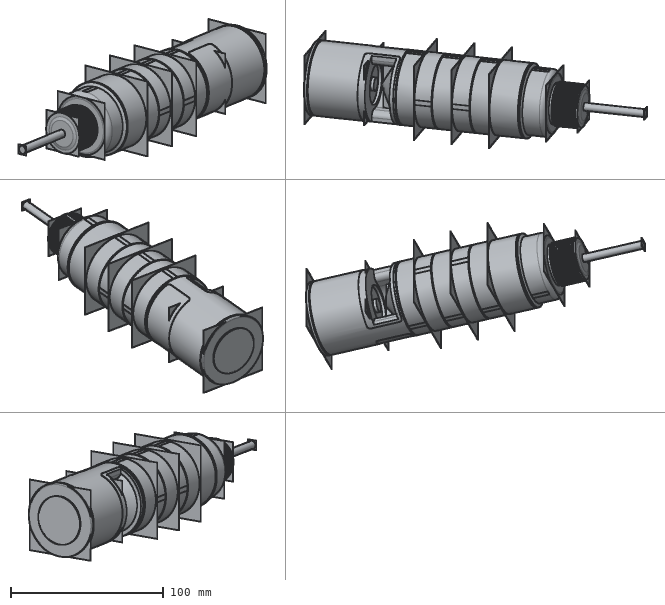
import cadquery as cq
import math


body_radius = 24.98
rear_boss_radius = 16.5
rear_boss_height = 1.0
rear_edge_fillet = 0.7
body_end = 150.3
shoulder_chamfer_length = 1.1
base_radius = 22.5
base_end = 165.8
base_fillet = 4.0
base_nose = 0.1

gland_radius = 14.8
gland_neck_length = 1.5
thread_start = base_end + gland_neck_length
thread_pitch = 1.5
thread_depth = 1.0
thread_turns = 11
thread_root_radius = gland_radius - thread_depth
gland_shoulder = 185.5
gland_shoulder_radius = 11.5
gland_end = 186.1
gland_end_radius = 9.1
keyway_width = 3.0

joint_stations = [3.2, 63.6, 88.5, 114.5, 147.8]
joint_width = 0.7
joint_depth = 0.2
mark_width = 3.5
mark_depth = 0.2
top_mark_spans = [(64.0, 76.6), (88.5, 102.7), (114.5, 128.5)]
side_mark_spans = [(76.9, 88.5), (102.7, 114.5)]
base_mark_span = (body_end, base_end - base_fillet)

window_start = 37.9
window_end = 62.3
window_edge = 6.8
window_corner = 2.3
window_depth = 0.2
slot_start = 43.0
slot_end = 59.8
slot_floor = 9.0
chamber_radius = 16.0
chamber_end = 48.1
post_rounding = 4.0
mouth_radius = 13.7
mouth_depth = 2.3
mouth_core_radius = 4.5
cone_tip = 46.5
cone_base_radius = 21.7

plate_thickness = 0.2
large_plate = 52.0
plates = [
    (rear_boss_height + 0.2, 48.1),
    (76.9, large_plate),
    (102.7, large_plate),
    (128.5, large_plate),
    (base_end - base_nose - plate_thickness, 39.5),
    (gland_shoulder - plate_thickness, 27.0),
]
head_plate_start = 41.5
head_plate_width = 44.3
head_plate_height = 42.0

cable_radius = 2.7
cable_end = 228.1
cable_plate = 6.6


def cylinder(radius, start, end):
    """Cylinder on the Y axis between two stations."""
    face = cq.Workplane("XZ", origin=(0, -start, 0))
    return face.circle(radius).extrude(end - start)


def thin_plate(start, width, height):
    """Thin rectangular plate across the axis."""
    face = cq.Workplane("XZ", origin=(0, -start, 0))
    return face.rect(width, height).extrude(plate_thickness)


def block(x_range, span, z_range):
    """Box between two X values, two stations and two Z values."""
    size = (x_range[1] - x_range[0], span[1] - span[0], z_range[1] - z_range[0])
    corner = (x_range[0], -span[1], z_range[0])
    return cq.Workplane("XY").box(*size, centered=False).translate(corner)


def turned_housing():
    """Rear boss, main cylinder, shoulder and rounded base, turned about Y."""
    round_middle = base_fillet * math.sqrt(0.5)
    base_round_radius = base_radius - base_fillet
    base_round_start = base_end - base_fillet
    profile = (
        cq.Workplane("XY")
        .moveTo(0, 0)
        .lineTo(rear_boss_radius, 0)
        .lineTo(rear_boss_radius, -rear_boss_height)
        .lineTo(body_radius - rear_edge_fillet, -rear_boss_height)
        .radiusArc((body_radius, -rear_boss_height - rear_edge_fillet), rear_edge_fillet)
        .lineTo(body_radius, -body_end + shoulder_chamfer_length)
        .lineTo(base_radius, -body_end)
        .lineTo(base_radius, -base_round_start)
        .threePointArc(
            (base_round_radius + round_middle, -base_round_start - round_middle),
            (base_round_radius, -base_end),
        )
        .lineTo(0, -base_end)
        .close()
    )
    return profile.revolve(360, (0, 0, 0), (0, 1, 0))


def threaded_gland():
    """Gland with ring-shaped thread ridges, a keyway on top and a tapered nose."""
    profile = (
        cq.Workplane("XY")
        .moveTo(0, -base_end)
        .lineTo(thread_root_radius, -base_end)
        .lineTo(thread_root_radius, -thread_start)
    )
    for turn in range(thread_turns):
        ridge_start = thread_start + turn * thread_pitch
        profile = profile.lineTo(gland_radius, -ridge_start - thread_pitch / 2)
        profile = profile.lineTo(thread_root_radius, -ridge_start - thread_pitch)
    gland = (
        profile.lineTo(thread_root_radius, -gland_shoulder)
        .lineTo(gland_shoulder_radius, -gland_shoulder)
        .lineTo(gland_end_radius, -gland_end)
        .lineTo(0, -gland_end)
        .close()
        .revolve(360, (0, 0, 0), (0, 1, 0))
    )
    keyway_span = (thread_start, thread_start + thread_turns * thread_pitch)
    half_width = keyway_width / 2
    keyway_floor = math.sqrt(thread_root_radius**2 - half_width**2)
    return gland.cut(block((-half_width, half_width), keyway_span, (keyway_floor, gland_radius)))


def joint_grooves(housing):
    """Shallow grooves where the modules of the housing meet."""
    for station in joint_stations:
        ring = cylinder(body_radius + joint_depth, station, station + joint_width)
        ring = ring.cut(cylinder(body_radius - joint_depth, station, station + joint_width))
        housing = housing.cut(ring)
    return housing


def index_marks(housing):
    """Shallow index marks along the axis, in opposite pairs."""
    marks = [(body_radius, span, 0) for span in top_mark_spans]
    marks += [(body_radius, span, 90) for span in side_mark_spans]
    marks.append((base_radius, base_mark_span, 0))
    for radius, span, angle in marks:
        for turn in (angle, angle + 180):
            mark = block((-mark_width / 2, mark_width / 2), span, (radius - mark_depth, radius))
            housing = housing.cut(mark.rotate((0, 0, 0), (0, 1, 0), turn))
    return housing


def window_panels(housing):
    """Shallow round-cornered panels on both sides of the head."""
    for side in (1, -1):
        reach = 2 * body_radius
        panel = block((window_edge, reach), (window_start, window_end), (-reach, reach))
        panel = panel.edges("|Z").fillet(window_corner)
        panel = panel.cut(cylinder(body_radius - window_depth, window_start, window_end))
        if side < 0:
            panel = panel.mirror("YZ")
        housing = housing.cut(panel)
    return housing


def sound_opening(housing):
    """Slot on the -X side with its chamber, horn mouth and deflector cone."""
    slot_span = (slot_start, slot_end)
    reach = 2 * body_radius
    slot = block((-reach, -slot_floor), slot_span, (-reach, reach))
    slot = slot.union(block((-slot_floor, 0), slot_span, (-chamber_radius, chamber_radius)))
    slot_middle = -(slot_start + slot_end) / 2
    for corner_z in (-chamber_radius, chamber_radius):
        corner = cq.selectors.NearestToPointSelector((-slot_floor, slot_middle, corner_z))
        slot = slot.edges("|Y").edges(corner).fillet(post_rounding)
    chamber = cylinder(chamber_radius, slot_start, chamber_end)
    mouth = cylinder(mouth_radius, slot_start - mouth_depth, slot_start)
    mouth = mouth.cut(cylinder(mouth_core_radius, slot_start - mouth_depth, slot_start))
    cone = (
        cq.Workplane("XY")
        .polyline([(0, -cone_tip), (cone_base_radius, -slot_end), (0, -slot_end)])
        .close()
        .revolve(360, (0, 0, 0), (0, 1, 0))
    )
    return housing.cut(slot).cut(chamber).cut(mouth).union(cone)


def make_housing():
    housing = turned_housing()
    housing = window_panels(housing)
    housing = joint_grooves(housing)
    housing = index_marks(housing)
    housing = housing.union(threaded_gland())
    for station, side in plates:
        housing = housing.union(thin_plate(station, side, side))
    housing = housing.union(thin_plate(head_plate_start, head_plate_width, head_plate_height))
    return sound_opening(housing).solids()


def make_cable():
    """Round cable that starts on the gland nose and ends in a small square plate."""
    cable = cylinder(cable_radius, gland_end, cable_end)
    end_plate = thin_plate(cable_end - plate_thickness, cable_plate, cable_plate)
    return cable.union(end_plate).solids()


housing = make_housing()
cable = make_cable()

result = cq.Compound.makeCompound([housing.val(), cable.val()])